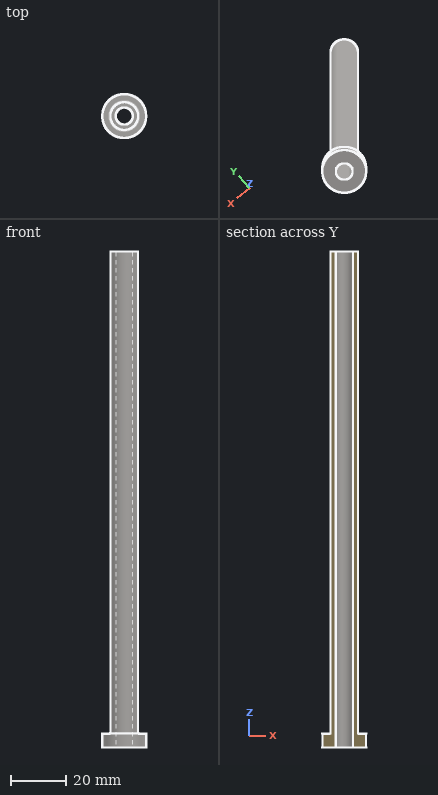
import cadquery as cq

total_length = 180.0
head_diameter = 16.0
head_height = 5.0
shaft_diameter = 10.0
bore_diameter = 6.1
neck_fillet = 0.5


def cylinder(diameter, height):
    """Cylinder on the Z axis, standing on the underside of the head."""
    return cq.Workplane("XY").circle(diameter / 2).extrude(height)


body = cylinder(head_diameter, head_height).union(cylinder(shaft_diameter, total_length))

neck_radius = shaft_diameter / 2
neck_box = cq.selectors.BoxSelector(
    (-neck_radius, -neck_radius, head_height - neck_fillet),
    (neck_radius, neck_radius, head_height + neck_fillet),
)
neck_edge = body.edges("%CIRCLE").edges(cq.selectors.RadiusNthSelector(0)).edges(neck_box)
body = neck_edge.fillet(neck_fillet)

result = body.cut(cylinder(bore_diameter, total_length))